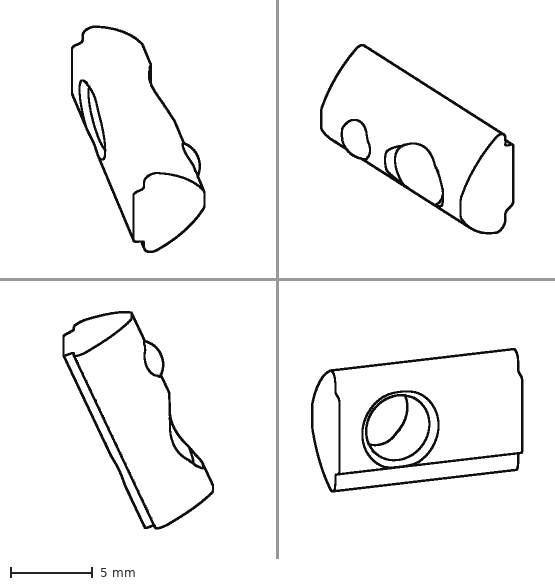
import cadquery as cq
import math

length = 12.0
half_height = 3.85
body_depth = 4.58
overall_depth = 5.2

shoulder_depth = 0.7
neck_half_height = 2.4
neck_slope = 0.3
neck_fillet = 0.3

lobe_radius = 0.6
flank_radius = 6.24
flank_start_depth = 1.55
back_edge_chamfer = 0.11

hole_diameter = 4.14
countersink_diameter = 5.0
hole_x = length / 3

ball_radius = 1.5
ball_x = 0.75 * length


def make_body():
    """Extrude the symmetric nut profile and finish its lengthwise edges."""
    lobe_y = shoulder_depth + lobe_radius
    lobe_z = half_height - lobe_radius

    normal_y = (flank_start_depth - lobe_y) / lobe_radius
    normal_z = math.sqrt(1 - normal_y**2)
    flank_start_z = lobe_z + lobe_radius * normal_z
    flank_y = flank_start_depth - flank_radius * normal_y
    flank_z = flank_start_z - flank_radius * normal_z

    def flank_height(y):
        return flank_z + math.sqrt(flank_radius**2 - (y - flank_y)**2)

    flank_mid_depth = (flank_start_depth + body_depth) / 2
    shoulder_root_z = neck_half_height + neck_slope * shoulder_depth

    half = (
        cq.Workplane("YZ")
        .lineTo(0, neck_half_height)
        .lineTo(shoulder_depth, shoulder_root_z)
        .lineTo(shoulder_depth, lobe_z)
        .threePointArc(
            (lobe_y - lobe_radius * math.sqrt(0.5), lobe_z + lobe_radius * math.sqrt(0.5)),
            (lobe_y, half_height),
        )
        .radiusArc((flank_start_depth, flank_start_z), lobe_radius)
        .threePointArc(
            (flank_mid_depth, flank_height(flank_mid_depth)),
            (body_depth, flank_height(body_depth)),
        )
        .lineTo(body_depth, 0)
        .close()
        .extrude(length)
    )
    body = half.union(half.mirror("XY")).clean()

    def edge_pair(solid, y, z):
        """Select the two lengthwise edges at depth y, above and below the mid plane."""
        upper = cq.selectors.NearestToPointSelector((length / 2, y, z))
        lower = cq.selectors.NearestToPointSelector((length / 2, y, -z))
        return solid.edges("|X").edges(upper + lower)

    body = edge_pair(body, 0, neck_half_height).fillet(neck_fillet)
    body = edge_pair(body, shoulder_depth, shoulder_root_z).fillet(neck_fillet)
    return edge_pair(body, body_depth, flank_height(body_depth)).chamfer(back_edge_chamfer)


def make_hole():
    """Through hole along Y with a 45 degree countersink at both ends."""
    hole_radius = hole_diameter / 2
    sink_radius = countersink_diameter / 2
    sink_depth = sink_radius - hole_radius
    return (
        cq.Workplane("XY")
        .polyline([
            (0, 0),
            (sink_radius, 0),
            (hole_radius, sink_depth),
            (hole_radius, body_depth - sink_depth),
            (sink_radius, body_depth),
            (0, body_depth),
        ])
        .close()
        .revolve(360, (0, 0, 0), (0, 1, 0))
        .translate((hole_x, 0, 0))
    )


def make_ball():
    return cq.Workplane("XY").sphere(ball_radius).translate((ball_x, overall_depth - ball_radius, 0))


result = make_body().cut(make_hole()).union(make_ball())